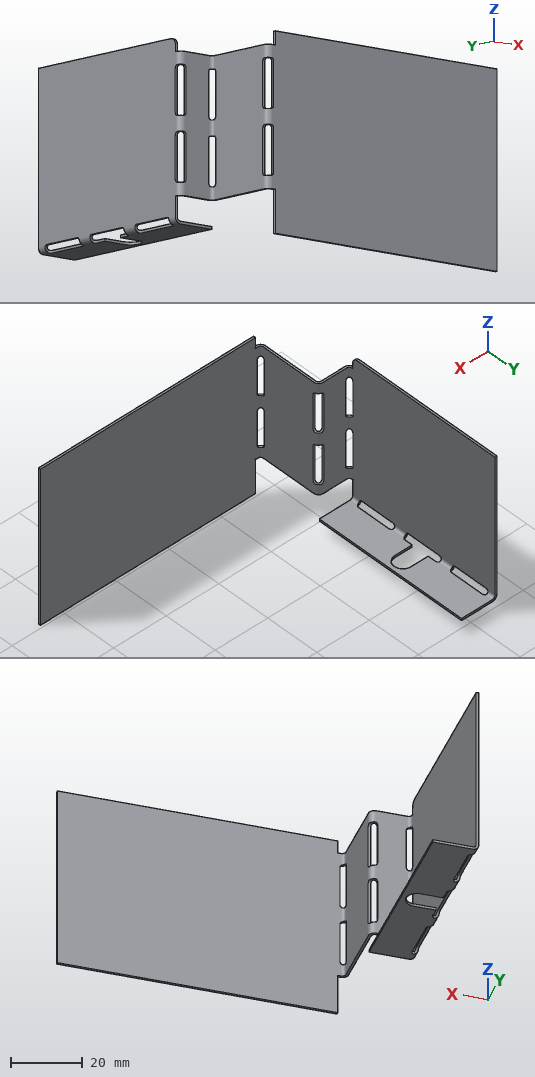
import cadquery as cq

THICKNESS = 0.8
INNER_RADIUS = 1.0
OUTER_RADIUS = INNER_RADIUS + THICKNESS

FRONT_PLATE_LENGTH = 82.0
FRONT_PLATE_HEIGHT = 57.5
OVERALL_X = 96.69

SIDE_PLATE_LENGTH = 58.0
SIDE_PLATE_HEIGHT = 52.7
OVERALL_Y = 83.48
SIDE_CORNER_RADIUS = 2.0
FLANGE_WIDTH = 13.5

STRIP_HEIGHT = 41.0
STRIP_TOP_DROP = 4.0
FRONT_BEND_MARGIN = 1.0
STEP_Y = 23.4

SLOT_LENGTH = 14.5
SLOT_PITCH = 19.0
SLOT_OVERRUN = 0.35
SLOT_CORNER_RADIUS = 1.0
STRIP_SLOT_COUNT = 2
FLANGE_SLOT_COUNT = 3

NOTCH_WIDTH = 6.5
NOTCH_TIP_X = 12.0

TOP_Z = FRONT_PLATE_HEIGHT
SIDE_BOTTOM_Z = TOP_Z - SIDE_PLATE_HEIGHT
STRIP_BOTTOM_Z = TOP_Z - STRIP_TOP_DROP - STRIP_HEIGHT
STRIP_MIDDLE_Z = STRIP_BOTTOM_Z + STRIP_HEIGHT / 2
SIDE_START_Y = OVERALL_Y - SIDE_PLATE_LENGTH
SIDE_MIDDLE_Y = SIDE_START_Y + SIDE_PLATE_LENGTH / 2
FRONT_START_X = OVERALL_X - FRONT_PLATE_LENGTH

STEP_X = FRONT_START_X - FRONT_BEND_MARGIN - OUTER_RADIUS


def block(start, end):
    """Axis-aligned box between two opposite corners."""
    size = [high - low for low, high in zip(start, end)]
    return cq.Workplane("XY").box(*size, centered=False).translate(start)


def make_front_plate():
    return block((FRONT_START_X, 0, 0), (OVERALL_X, THICKNESS, TOP_Z))


def make_side_plate():
    """Side plate and bottom flange as one bent section along Y."""
    section = (
        cq.Workplane("XZ", origin=(0, OVERALL_Y, 0))
        .moveTo(0, TOP_Z)
        .lineTo(0, SIDE_BOTTOM_Z + OUTER_RADIUS)
        .radiusArc((OUTER_RADIUS, SIDE_BOTTOM_Z), -OUTER_RADIUS)
        .lineTo(FLANGE_WIDTH, SIDE_BOTTOM_Z)
        .lineTo(FLANGE_WIDTH, SIDE_BOTTOM_Z + THICKNESS)
        .lineTo(OUTER_RADIUS, SIDE_BOTTOM_Z + THICKNESS)
        .radiusArc((THICKNESS, SIDE_BOTTOM_Z + OUTER_RADIUS), INNER_RADIUS)
        .lineTo(THICKNESS, TOP_Z)
        .close()
    )
    plate = section.extrude(SIDE_PLATE_LENGTH)
    return plate.edges("|X and >Z and <Y").fillet(SIDE_CORNER_RADIUS)


def make_strip():
    """Strip bent three times, reaching from the side plate to the front plate."""
    step_far_x = STEP_X + THICKNESS
    step_far_y = STEP_Y + THICKNESS
    return (
        cq.Workplane("XY", origin=(0, 0, STRIP_BOTTOM_Z))
        .moveTo(0, SIDE_START_Y)
        .lineTo(0, STEP_Y + OUTER_RADIUS)
        .radiusArc((OUTER_RADIUS, STEP_Y), -OUTER_RADIUS)
        .lineTo(STEP_X - INNER_RADIUS, STEP_Y)
        .radiusArc((STEP_X, STEP_Y - INNER_RADIUS), INNER_RADIUS)
        .lineTo(STEP_X, OUTER_RADIUS)
        .radiusArc((STEP_X + OUTER_RADIUS, 0), -OUTER_RADIUS)
        .lineTo(FRONT_START_X, 0)
        .lineTo(FRONT_START_X, THICKNESS)
        .lineTo(STEP_X + OUTER_RADIUS, THICKNESS)
        .radiusArc((step_far_x, OUTER_RADIUS), INNER_RADIUS)
        .lineTo(step_far_x, step_far_y - OUTER_RADIUS)
        .radiusArc((step_far_x - OUTER_RADIUS, step_far_y), -OUTER_RADIUS)
        .lineTo(OUTER_RADIUS, step_far_y)
        .radiusArc((THICKNESS, STEP_Y + OUTER_RADIUS), INNER_RADIUS)
        .lineTo(THICKNESS, SIDE_START_Y)
        .close()
        .extrude(STRIP_HEIGHT)
    )


def make_slot_cutter():
    """Cutter for a bend along Z whose outer corner is at the origin, with legs along +X and +Y.

    The slot runs slightly past the bend into both legs, where its corners are rounded.
    """
    reach = OUTER_RADIUS + SLOT_OVERRUN
    half_length = SLOT_LENGTH / 2
    blank = block((0, 0, -half_length), (reach, reach, half_length))
    rounded_in_x = blank.edges("|Y and >X").fillet(SLOT_CORNER_RADIUS)
    rounded_in_y = blank.edges("|X and >Y").fillet(SLOT_CORNER_RADIUS)
    return rounded_in_x.intersect(rounded_in_y)


def slot_offsets(count):
    """Slot centres along a bend, measured from the middle of the row."""
    return [(index - (count - 1) / 2) * SLOT_PITCH for index in range(count)]


def cut_strip_slots(body):
    cutter = make_slot_cutter()
    turned_cutter = cutter.rotate((0, 0, 0), (0, 0, 1), 180)
    for offset in slot_offsets(STRIP_SLOT_COUNT):
        slot_z = STRIP_MIDDLE_Z + offset
        body = body.cut(cutter.translate((0, STEP_Y, slot_z)))
        body = body.cut(turned_cutter.translate((STEP_X + THICKNESS, STEP_Y + THICKNESS, slot_z)))
        body = body.cut(cutter.translate((STEP_X, 0, slot_z)))
    return body


def cut_flange_slots(body):
    cutter = make_slot_cutter().rotate((0, 0, 0), (1, 0, 0), 90)
    for offset in slot_offsets(FLANGE_SLOT_COUNT):
        body = body.cut(cutter.translate((0, SIDE_MIDDLE_Y + offset, SIDE_BOTTOM_Z)))
    return body


def cut_flange_notch(body):
    tip_radius = NOTCH_WIDTH / 2
    tip_centre_x = NOTCH_TIP_X - tip_radius
    low_y = SIDE_MIDDLE_Y - tip_radius
    high_y = SIDE_MIDDLE_Y + tip_radius
    notch = (
        cq.Workplane("XY", origin=(0, 0, SIDE_BOTTOM_Z))
        .moveTo(OUTER_RADIUS, low_y)
        .lineTo(tip_centre_x, low_y)
        .threePointArc((NOTCH_TIP_X, SIDE_MIDDLE_Y), (tip_centre_x, high_y))
        .lineTo(OUTER_RADIUS, high_y)
        .close()
        .extrude(THICKNESS)
    )
    return body.cut(notch)


body = make_side_plate().union(make_strip()).union(make_front_plate())
body = cut_strip_slots(body)
body = cut_flange_slots(body)
result = cut_flange_notch(body)